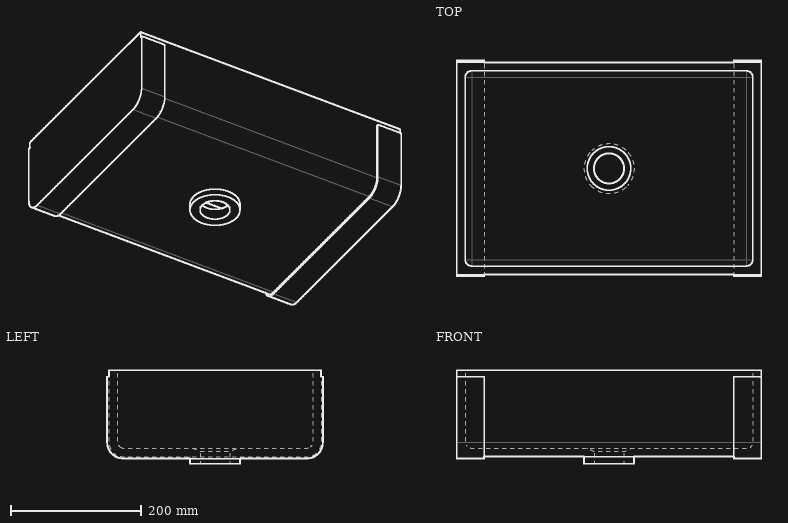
import cadquery as cq

LENGTH = 468.0
OVERALL_WIDTH = 332.0
OVERALL_HEIGHT = 144.0

BAND_THICKNESS = 3.0
BAND_LENGTH = 42.0
BAND_TOP_DROP = 10.0
BAND_RADIUS = 25.0

BODY_WIDTH = OVERALL_WIDTH - 2 * BAND_THICKNESS
BODY_HEIGHT = 133.0
BODY_RADIUS = BAND_RADIUS - BAND_THICKNESS
BODY_BOTTOM = OVERALL_HEIGHT - BODY_HEIGHT

WALL = 13.0
FLOOR_THICKNESS = 13.0
BOWL_RADIUS = 10.0
BOWL_DEPTH = BODY_HEIGHT - FLOOR_THICKNESS
FLOOR_Z = OVERALL_HEIGHT - BOWL_DEPTH

SPIGOT_DIAMETER = 77.0
DRAIN_DIAMETER = 46.0
SINK_DIAMETER = 67.0
SINK_DEPTH = 5.0


def trough(length, width, bottom, top, radius):
    """Solid bar along X, centred on X and Y, with its two long bottom edges rounded."""
    return (
        cq.Workplane("XY", origin=(0, 0, bottom))
        .box(length, width, top - bottom, centered=(True, True, False))
        .edges("|X and <Z")
        .fillet(radius)
    )


def make_body():
    return trough(LENGTH, BODY_WIDTH, BODY_BOTTOM, OVERALL_HEIGHT, BODY_RADIUS)


def make_band(side):
    """Band flush with one end of the body; side is -1 or +1 along X."""
    band_bottom = BODY_BOTTOM - BAND_THICKNESS
    band_top = OVERALL_HEIGHT - BAND_TOP_DROP
    band = trough(BAND_LENGTH, OVERALL_WIDTH, band_bottom, band_top, BAND_RADIUS)
    return band.translate((side * (LENGTH - BAND_LENGTH) / 2, 0, 0))


def make_spigot():
    return cq.Workplane("XY").circle(SPIGOT_DIAMETER / 2).extrude(FLOOR_Z)


def make_bowl():
    """Bowl cavity with equal radii on its upright corners and around its floor."""
    return (
        cq.Workplane("XY", origin=(0, 0, FLOOR_Z))
        .box(LENGTH - 2 * WALL, BODY_WIDTH - 2 * WALL, BOWL_DEPTH, centered=(True, True, False))
        .edges("|Z or <Z")
        .fillet(BOWL_RADIUS)
    )


def make_drain():
    """Through hole with a conical sink at the bowl floor, revolved about Z."""
    hole_radius = DRAIN_DIAMETER / 2
    return (
        cq.Workplane("XZ")
        .lineTo(hole_radius, 0)
        .lineTo(hole_radius, FLOOR_Z - SINK_DEPTH)
        .lineTo(SINK_DIAMETER / 2, FLOOR_Z)
        .lineTo(0, FLOOR_Z)
        .close()
        .revolve(360, (0, 0, 0), (0, 1, 0))
    )


basin = make_body().union(make_spigot())
for end in (-1, 1):
    basin = basin.union(make_band(end))

result = basin.cut(make_bowl()).cut(make_drain())